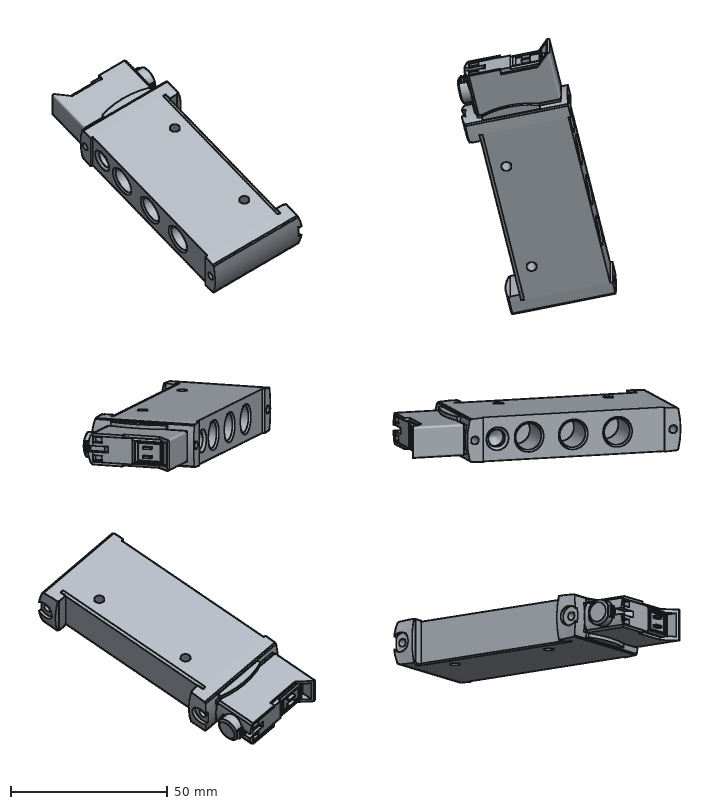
import cadquery as cq


thickness = 14.4
body_front = 0.8
body_back = 30.05
body_chamfer_y = 1.1
body_chamfer_z = 0.4
mount_hole_dia = 3.2
mount_hole_y = 24.1
mount_hole_xs = (35.9, 72.9)

cap_left = 17.6
cap_right = 89.45
cap_center = (cap_left + cap_right) / 2
cap_inner = 23.0
cap_back = 34.8
cap_back_corner = 33.7
cap_bevel_x = 19.0
cap_bevel_z = 7.0
cap_face_x = 18.4
cap_face_z = 6.6
hook_reach = 2.15
hook_step = 0.3
hook_step_y = 33.1
cap_hole_dia = 2.6
cap_hole_x = 20.1
cap_bore_dia = 6.4
cap_bore_floor = 33.45

port_dia = 8.6
port_rim_dia = 9.8
port_rim_depth = 0.6
port_depth = 12.5
port_xs = (38.6, 53.5, 68.4)
pilot_x = 28.0
pilot_rim_dia = 7.5
pilot_dia = 5.6
pilot_taper = 0.9
pilot_depth = 2.9
pilot_tip = 1.6

coil_left = 2.5
coil_right = 17.1
coil_front = 1.9
coil_back = 30.5
coil_back_edge = 29.6
coil_half_z = 5.1
coil_corner = 0.7
latch_corner_y = coil_front + coil_corner
notch_x = 4.2
notch_top = 18.7
notch_bottom = latch_corner_y + notch_x
insert_x = 2.8
insert_half_z = 4.2
insert_back = 28.9
connector_x = 2.9
connector_top = 15.4
insert_chamfer = 0.6
neck_front = 2.2
neck_back = 29.5
neck_half_z = 4.7
seat_x = 18.8

lip_tip = 15.6
lip_front = 9.0
lip_back = 28.0
lip_half_z = 6.35

slot_half_z = 1.0
slot_floor = 4.8
slot_ramp_start = 25.7
slot_end = 23.6
window_ys = (25.85, 28.8)
window_zs = (2.1, 3.85)
window_depth = 2.2
latch_pocket_ys = (3.1, 5.3)
latch_pocket_half_z = 3.85
latch_pocket_floor = 4.2
socket_ys = (5.55, 14.6)
socket_half_z = 3.3
socket_radius = 0.6
socket_depth = 0.2
well_ys = (6.0, 13.7)
well_half_z = 2.9
well_radius = 0.4
well_depth = 0.45
pin_tip = 2.15
pin_ys = (8.95, 11.7)
pin_zs = (1.2, 1.8)

button_x = 9.7
button_dia = 8.1
button_half_width = 3.8
button_top = 33.45
button_chamfer_y = 0.45
button_chamfer_radial = 0.9
tab_reach = 4.3
tab_half_z = 1.9
tab_ramp_top = 32.7
tab_tip_y = 32.2
tab_under_y = 31.9
tab_foot_y = 31.2


def box(xs, ys, zs):
    """Box between pairs of limits along X, Y and Z."""
    size = (xs[1] - xs[0], ys[1] - ys[0], zs[1] - zs[0])
    return cq.Workplane("XY").box(*size, centered=False).translate((xs[0], ys[0], zs[0]))


def both_ways(limit):
    return (-limit, limit)


def extrude_y(outline, start, end):
    """Extrude a closed XZ outline between two Y positions."""
    return outline.extrude(start - end).translate((0, start, 0))


def rod_y(x, dia, start, depth):
    """Round rod running in +Y from a start position."""
    return extrude_y(cq.Workplane("XZ").center(x, 0).circle(dia / 2), start, start + depth)


def make_body():
    half = thickness / 2
    body = (
        cq.Workplane("YZ")
        .moveTo(body_front, -half)
        .lineTo(body_back - body_chamfer_y, -half)
        .lineTo(body_back, -half + body_chamfer_z)
        .lineTo(body_back, half - body_chamfer_z)
        .lineTo(body_back - body_chamfer_y, half)
        .lineTo(body_front, half)
        .close()
        .extrude(2 * (cap_center - cap_inner))
        .translate((cap_inner, 0, 0))
    )
    holes = (
        cq.Workplane("XY")
        .pushPoints([(x, mount_hole_y) for x in mount_hole_xs])
        .circle(mount_hole_dia / 2)
        .extrude(thickness, both=True)
    )
    return body.cut(holes)


def make_port(x):
    """Blind port with a conical rim."""
    rim = (
        cq.Workplane("XY")
        .moveTo(0, body_front)
        .lineTo(port_rim_dia / 2, body_front)
        .lineTo(port_dia / 2, body_front + port_rim_depth)
        .lineTo(port_dia / 2, body_front + port_depth)
        .lineTo(0, body_front + port_depth)
        .close()
    )
    return rim.revolve(360, (0, 0, 0), (0, 1, 0)).translate((x, 0, 0))


def make_pilot_port():
    """Tapered port that ends in a drill point."""
    section = (
        cq.Workplane("XY")
        .moveTo(0, body_front)
        .lineTo(pilot_rim_dia / 2, body_front)
        .lineTo(pilot_dia / 2, body_front + pilot_taper)
        .lineTo(pilot_dia / 2, body_front + pilot_depth)
        .lineTo(0, body_front + pilot_depth + pilot_tip)
        .close()
    )
    return section.revolve(360, (0, 0, 0), (0, 1, 0)).translate((pilot_x, 0, 0))


def make_cap():
    """The -X end cap, crowned on its end and back, with a hook behind the body."""
    half = thickness / 2
    hook_x = cap_inner + hook_reach
    end_outline = (
        cq.Workplane("XZ")
        .moveTo(hook_x, -half)
        .lineTo(cap_inner, -half)
        .lineTo(cap_bevel_x, -cap_bevel_z)
        .lineTo(cap_face_x, -cap_face_z)
        .threePointArc((cap_left, 0), (cap_face_x, cap_face_z))
        .lineTo(cap_bevel_x, cap_bevel_z)
        .lineTo(cap_inner, half)
        .lineTo(hook_x, half)
        .close()
    )
    back_outline = (
        cq.Workplane("YZ")
        .moveTo(0, -half)
        .lineTo(cap_back_corner, -half)
        .threePointArc((cap_back, 0), (cap_back_corner, half))
        .lineTo(0, half)
        .close()
        .extrude(hook_x)
    )
    side_outline = (
        cq.Workplane("XY")
        .moveTo(cap_left, 0)
        .lineTo(cap_inner, 0)
        .lineTo(cap_inner, body_back)
        .lineTo(hook_x, body_back)
        .lineTo(hook_x, hook_step_y)
        .lineTo(hook_x - hook_step, hook_step_y)
        .lineTo(hook_x - hook_step, cap_back)
        .lineTo(cap_left, cap_back)
        .close()
        .extrude(half, both=True)
    )
    cap = extrude_y(end_outline, 0, cap_back).intersect(back_outline).intersect(side_outline)
    bore = rod_y(cap_hole_x, cap_bore_dia, cap_bore_floor, cap_back)
    return cap.cut(rod_y(cap_hole_x, cap_hole_dia, 0, cap_back)).cut(bore)


def make_coil_block():
    """Coil housing with a crowned back, a latch tip and a recessed -X insert."""
    side = coil_half_z - coil_corner
    section = (
        cq.Workplane("YZ")
        .moveTo(coil_front, -side)
        .radiusArc((coil_front + coil_corner, -coil_half_z), -coil_corner)
        .lineTo(coil_back_edge - coil_corner, -coil_half_z)
        .lineTo(coil_back_edge, -side)
        .threePointArc((coil_back, 0), (coil_back_edge, side))
        .lineTo(coil_back_edge - coil_corner, coil_half_z)
        .lineTo(coil_front + coil_corner, coil_half_z)
        .radiusArc((coil_front, side), -coil_corner)
        .close()
        .extrude(coil_right)
    )
    shell_outline = (
        cq.Workplane("XY")
        .moveTo(0, coil_front)
        .lineTo(0, latch_corner_y)
        .lineTo(notch_x, notch_bottom)
        .lineTo(notch_x, notch_top)
        .lineTo(coil_left, notch_top)
        .lineTo(coil_left, coil_back)
        .lineTo(coil_right, coil_back)
        .lineTo(coil_right, coil_front)
        .close()
        .extrude(thickness, both=True)
    )
    coil = section.intersect(shell_outline)
    recess = box((coil_left, insert_x), (notch_top, insert_back), both_ways(insert_half_z))
    return coil.cut(recess).union(make_insert())


def make_insert():
    """Core of the notch, bevelled along the stretch that carries the connector."""
    insert = (
        cq.Workplane("XY")
        .moveTo(connector_x, latch_corner_y + connector_x)
        .lineTo(connector_x, connector_top)
        .lineTo(insert_x, connector_top)
        .lineTo(insert_x, notch_top)
        .lineTo(notch_x, notch_top)
        .lineTo(notch_x, notch_bottom)
        .close()
        .extrude(insert_half_z, both=True)
    )
    for side in (-1, 1):
        edge = side * insert_half_z
        bevel = (
            cq.Workplane("XZ")
            .moveTo(connector_x, edge - side * insert_chamfer)
            .lineTo(connector_x + insert_chamfer, edge)
            .lineTo(connector_x, edge)
            .close()
        )
        insert = insert.cut(extrude_y(bevel, latch_corner_y, connector_top))
    return insert


def make_cap_joint():
    """Neck and arched lips that join the coil to the -X cap."""
    neck = box((coil_right, seat_x), (neck_front, neck_back), both_ways(neck_half_z))
    lips = (
        cq.Workplane("XY")
        .moveTo(coil_right, lip_front)
        .threePointArc((lip_tip, (lip_front + lip_back) / 2), (coil_right, lip_back))
        .lineTo(seat_x, lip_back)
        .lineTo(seat_x, lip_front)
        .close()
        .extrude(lip_half_z, both=True)
    )
    return neck.union(lips)


def rounded_pocket(ys, half_z, radius, floor):
    """Pocket with rounded corners cut from the -X face to a floor."""
    pocket = box((0, floor), ys, both_ways(half_z))
    return pocket.edges("|X").fillet(radius)


def make_slot():
    """Slot open to the coil's back whose floor ramps up to the -X face."""
    return (
        cq.Workplane("XY")
        .moveTo(0, coil_back)
        .lineTo(slot_floor, coil_back)
        .lineTo(slot_floor, slot_ramp_start)
        .lineTo(insert_x, slot_end)
        .lineTo(0, slot_end)
        .close()
        .extrude(slot_half_z, both=True)
    )


def cut_coil_face(coil):
    """Cut the slot, windows, latch pocket and connector socket, then add the pins."""
    well_floor = connector_x + socket_depth + well_depth
    coil = coil.cut(make_slot())
    coil = coil.cut(box((0, latch_pocket_floor), latch_pocket_ys, both_ways(latch_pocket_half_z)))
    coil = coil.cut(rounded_pocket(socket_ys, socket_half_z, socket_radius, connector_x + socket_depth))
    coil = coil.cut(rounded_pocket(well_ys, well_half_z, well_radius, well_floor))
    for side in (-1, 1):
        window_limits = sorted(side * z for z in window_zs)
        pin_limits = sorted(side * z for z in pin_zs)
        coil = coil.cut(box((0, insert_x + window_depth), window_ys, window_limits))
        coil = coil.union(box((pin_tip, well_floor), pin_ys, pin_limits))
    return coil


def make_button():
    """Flat-sided round button with a snap tab on each flat."""
    base = coil_back_edge
    button = rod_y(0, button_dia, base, button_top - base)
    button = button.faces(">Y").chamfer(button_chamfer_y, button_chamfer_radial)
    button = button.intersect(
        box(both_ways(button_half_width), (base, button_top), both_ways(button_dia))
    )
    tabs = (
        cq.Workplane("XY")
        .moveTo(-tab_reach, base)
        .lineTo(-tab_reach, tab_foot_y)
        .lineTo(-button_half_width, tab_foot_y)
        .lineTo(-button_half_width, tab_under_y)
        .lineTo(-tab_reach, tab_under_y)
        .lineTo(-tab_reach, tab_tip_y)
        .lineTo(-button_half_width, tab_ramp_top)
        .lineTo(0, tab_ramp_top)
        .lineTo(0, base)
        .close()
        .extrude(tab_half_z, both=True)
    )
    button = button.union(tabs).union(tabs.mirror("YZ"))
    return button.translate((button_x, 0, 0))


left_cap = make_cap()
right_cap = left_cap.mirror("YZ", (cap_center, 0, 0))
coil = cut_coil_face(make_coil_block())

result = make_body().union(left_cap).union(right_cap)
for port_x in port_xs:
    result = result.cut(make_port(port_x))
result = result.cut(make_pilot_port())
result = result.union(make_cap_joint()).union(coil).union(make_button())